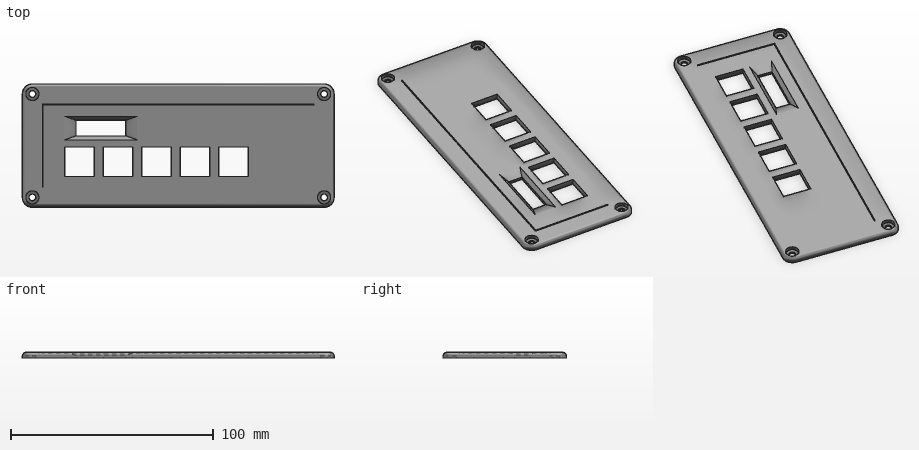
import cadquery as cq

LENGTH = 154.0
WIDTH = 61.0
THICKNESS = 3.0
CORNER_RADIUS = 5.0
EDGE_FILLET = 2.0
LEFT = -LENGTH / 2
BACK = WIDTH / 2

SCREW_INSET = CORNER_RADIUS
SCREW_DIAMETER = 3.2
SCREW_HEAD_DIAMETER = 6.5
SCREW_HEAD_DEPTH = 2.0

GROOVE_INSET = 10.0
GROOVE_WIDTH = 0.3
GROOVE_DEPTH = 0.5

BUTTON_COUNT = 5
BUTTON_SIZE = 14.5
BUTTON_PITCH = 19.0
BUTTON_LEFT_INSET = 21.0
BUTTON_BACK_INSET = 31.2

WINDOW_LENGTH = 35.7
WINDOW_WIDTH = 11.6
WINDOW_LEFT_INSET = BUTTON_LEFT_INSET
WINDOW_BACK_INSET = 16.0
OPENING_LENGTH = 24.4
OPENING_WIDTH = 7.6
BEVEL_DEPTH = 1.5


def make_plate():
    """Rounded plate with a fillet around the top edge."""
    plate = cq.Workplane("XY").box(LENGTH, WIDTH, THICKNESS, centered=(True, True, False))
    return plate.edges("|Z").fillet(CORNER_RADIUS).faces(">Z").edges().fillet(EDGE_FILLET)


def cut_screw_holes(plate):
    """One counterbored through hole in each corner."""
    spacing_x = LENGTH - 2 * SCREW_INSET
    spacing_y = WIDTH - 2 * SCREW_INSET
    return (
        plate.faces(">Z")
        .workplane(origin=(0, 0, THICKNESS))
        .rect(spacing_x, spacing_y, forConstruction=True)
        .vertices()
        .cboreHole(SCREW_DIAMETER, SCREW_HEAD_DIAMETER, SCREW_HEAD_DEPTH)
    )


def cut_groove(plate):
    """Shallow groove along the back and left, stopping short of the plate edges."""
    run_x = LENGTH - 2 * GROOVE_INSET
    run_y = WIDTH - 2 * GROOVE_INSET
    groove = (
        cq.Workplane("XY", origin=(LEFT + GROOVE_INSET, BACK - GROOVE_INSET, THICKNESS))
        .lineTo(run_x, 0)
        .lineTo(run_x, -GROOVE_WIDTH)
        .lineTo(GROOVE_WIDTH, -GROOVE_WIDTH)
        .lineTo(GROOVE_WIDTH, -run_y)
        .lineTo(0, -run_y)
        .close()
        .extrude(-GROOVE_DEPTH)
    )
    return plate.cut(groove)


def cut_buttons(plate):
    """Row of equally spaced square through openings."""
    first_x = LEFT + BUTTON_LEFT_INSET + BUTTON_SIZE / 2
    center_y = BACK - BUTTON_BACK_INSET - BUTTON_SIZE / 2
    centers = [(first_x + i * BUTTON_PITCH, center_y) for i in range(BUTTON_COUNT)]
    openings = cq.Workplane("XY").pushPoints(centers).rect(BUTTON_SIZE, BUTTON_SIZE).extrude(THICKNESS)
    return plate.cut(openings)


def cut_window(plate):
    """Through opening with four sloped faces widening toward the top face."""
    center_x = LEFT + WINDOW_LEFT_INSET + WINDOW_LENGTH / 2
    center_y = BACK - WINDOW_BACK_INSET - WINDOW_WIDTH / 2
    opening = (
        cq.Workplane("XY", origin=(center_x, center_y, 0))
        .rect(OPENING_LENGTH, OPENING_WIDTH)
        .extrude(THICKNESS)
    )
    bevel = (
        cq.Workplane("XY", origin=(center_x, center_y, THICKNESS - BEVEL_DEPTH))
        .rect(OPENING_LENGTH, OPENING_WIDTH)
        .workplane(offset=BEVEL_DEPTH)
        .rect(WINDOW_LENGTH, WINDOW_WIDTH)
        .loft()
    )
    return plate.cut(opening).cut(bevel)


result = make_plate()
result = cut_screw_holes(result)
result = cut_groove(result)
result = cut_buttons(result)
result = cut_window(result)